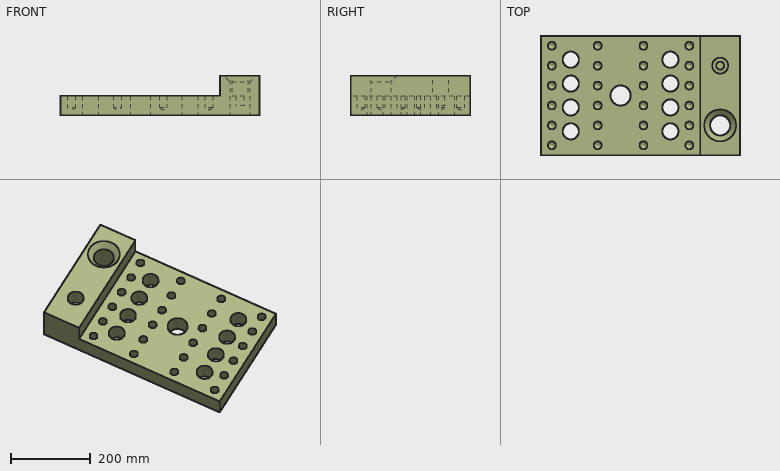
import cadquery as cq
import math

length = 500
width = 300
plate_height = 50
block_length = 100
block_height = 100
block_start = length - block_length
block_center_x = length - block_length / 2

drill_diameter = 20
drill_depth = 30
drill_tip_angle = 118
drill_columns = 4
drill_rows = 6
drill_first_x = 27.5
drill_pitch_x = 115
drill_pitch_y = 50

through_diameter = 40
through_columns_x = (75, 325)
through_rows = 4
through_pitch_y = 60
center_diameter = 50

stepped_y = 0.75 * width
stepped_diameter = 40
stepped_depth = 50
pilot_diameter = 20
pilot_depth = 75
countersink_y = 0.25 * width
countersink_bore = 50
countersink_diameter = 80
countersink_angle = 90


def centered_rows(count, pitch):
    """Y positions of evenly spaced rows, symmetric about the middle of the width."""
    first = width / 2 - pitch * (count - 1) / 2
    return [first + pitch * row for row in range(count)]


def drilled_hole(x, y, top, diameter, depth):
    """Solid shape of a blind drilled hole, with its conical tip below the full depth."""
    radius = diameter / 2
    tip = radius / math.tan(math.radians(drill_tip_angle / 2))
    profile = (
        cq.Workplane("XZ")
        .polyline([(0, 0), (radius, 0), (radius, -depth), (0, -depth - tip)])
        .close()
    )
    return profile.revolve(360, (0, 0), (0, 1)).translate((x, y, top))


plate = cq.Workplane("XY").box(length, width, plate_height, centered=False)
block = (
    cq.Workplane("XY")
    .box(block_length, width, block_height, centered=False)
    .translate((block_start, 0, 0))
)
result = plate.union(block)

through_points = [(x, y) for x in through_columns_x for y in centered_rows(through_rows, through_pitch_y)]
through_holes = cq.Workplane("XY").pushPoints(through_points).circle(through_diameter / 2).extrude(plate_height)
center_hole = (
    cq.Workplane("XY")
    .center(block_start / 2, width / 2)
    .circle(center_diameter / 2)
    .extrude(plate_height)
)
result = result.cut(through_holes).cut(center_hole)

for column in range(drill_columns):
    for y in centered_rows(drill_rows, drill_pitch_y):
        x = drill_first_x + drill_pitch_x * column
        result = result.cut(drilled_hole(x, y, plate_height, drill_diameter, drill_depth))

block_top = cq.Workplane("XY", origin=(block_center_x, 0, block_height))
result = result.cut(block_top.center(0, stepped_y).circle(stepped_diameter / 2).extrude(-stepped_depth))
result = result.cut(block_top.center(0, stepped_y).circle(pilot_diameter / 2).extrude(-pilot_depth))
countersunk_face = cq.Workplane("XY", origin=(block_center_x, countersink_y, block_height))
result = result.copyWorkplane(countersunk_face).cskHole(
    countersink_bore, countersink_diameter, countersink_angle
)